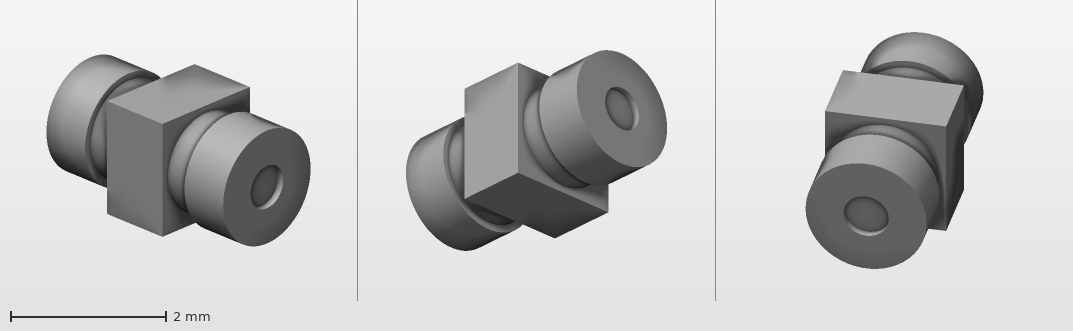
import cadquery as cq

length = 3.2
width = 1.6

body_length = 1.0

cap_length = 0.7
cap_diameter = width
neck_diameter = 1.4

recess_diameter = 0.6
recess_depth = 0.1


def make_turned_core():
    """Caps and necks turned about the X axis, with the end recesses."""
    end_x = length / 2
    recess_x = end_x - recess_depth
    cap_x = end_x - cap_length
    cap_radius = cap_diameter / 2
    neck_radius = neck_diameter / 2
    recess_radius = recess_diameter / 2
    half_profile = [
        (cap_x, neck_radius),
        (cap_x, cap_radius),
        (end_x, cap_radius),
        (end_x, recess_radius),
        (recess_x, recess_radius),
        (recess_x, 0),
    ]
    mirrored_profile = [(-x, z) for x, z in reversed(half_profile)]
    profile = cq.Workplane("XZ").polyline(half_profile + mirrored_profile).close()
    return profile.revolve(360, (0, 0, 0), (1, 0, 0))


def make_body():
    """Square block centred on the origin."""
    return cq.Workplane("XY").box(body_length, width, width)


result = make_turned_core().union(make_body())